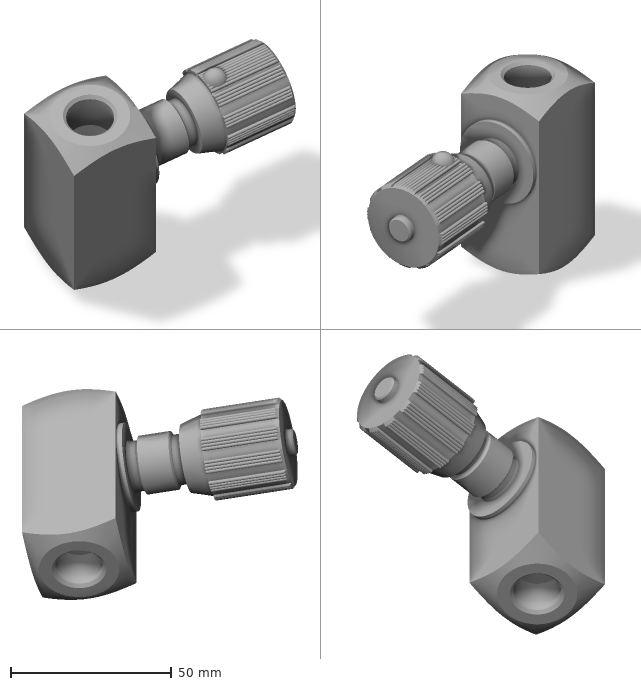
import cadquery as cq
import math


block_width = 30.0
block_height = 65.0
block_center_z = -8.5
block_end_land_dia = 25.1
block_end_angle = 30.0

port_mouth_dia = 17.0
port_dia = 15.0
port_depth = 13.5
drill_point_angle = 118.0
seat_dia = 8.0
seat_depth = 1.7
plug_tip_dia = 5.7
notch_width = 2.5

stem_overlap = 0.8
flange_dia = 28.1
flange_end = 31.75
neck_dia = 16.0
neck_foot_dia = 16.8
neck_foot_end = 32.75
collar_dia = 18.6
collar_start = 34.8
collar_end = 46.3
collar_chamfer = 0.75
skirt_start = 49.3
skirt_small_dia = 21.9
skirt_large_dia = 26.4

knob_start = 56.8
knob_end = 81.9
knob_dia = 29.1
knob_chamfer = 1.0
flute_depth = 0.9
section_count = 12
beads_per_section = 4
beads_on_marker_section = 8
bead_pitch_angle = 4.3

spindle_dia = 8.4
spindle_foot_dia = 8.8
spindle_foot_height = 0.5
spindle_end = 84.2
spindle_chamfer = 0.5

ball_dia = 7.6
ball_center_z = 13.3


def make_block():
    """Square block whose ends are turned to a shallow cone around a flat land."""
    box = cq.Workplane("XY").box(block_width, block_width, block_height)
    half_height = block_height / 2
    land_radius = block_end_land_dia / 2
    outer_radius = block_width
    cone_drop = (outer_radius - land_radius) * math.tan(math.radians(block_end_angle))
    turned = (
        cq.Workplane("XZ")
        .moveTo(0, -half_height)
        .lineTo(land_radius, -half_height)
        .lineTo(outer_radius, -half_height + cone_drop)
        .lineTo(outer_radius, half_height - cone_drop)
        .lineTo(land_radius, half_height)
        .lineTo(0, half_height)
        .close()
        .revolve(360, (0, 0), (0, 1))
    )
    return box.intersect(turned)


def make_port():
    """Void of the upper port: chamfer, thread bore, drill point, seat bore around the plug."""
    mouth_z = block_height / 2
    bore_end_z = mouth_z - port_depth
    port_radius = port_dia / 2
    seat_radius = seat_dia / 2
    plug_tip_radius = plug_tip_dia / 2
    mouth_chamfer = (port_mouth_dia - port_dia) / 2
    drill_drop = (port_radius - seat_radius) / math.tan(math.radians(drill_point_angle / 2))
    seat_z = bore_end_z - drill_drop
    plug_base_z = seat_z - seat_depth
    plug_tip_z = plug_base_z + seat_radius - plug_tip_radius
    void = (
        cq.Workplane("XZ")
        .moveTo(0, mouth_z)
        .lineTo(port_mouth_dia / 2, mouth_z)
        .lineTo(port_radius, mouth_z - mouth_chamfer)
        .lineTo(port_radius, bore_end_z)
        .lineTo(seat_radius, seat_z)
        .lineTo(seat_radius, plug_base_z)
        .lineTo(plug_tip_radius, plug_tip_z)
        .lineTo(0, plug_tip_z)
        .close()
        .revolve(360, (0, 0), (0, 1))
    )
    return void, plug_tip_z


def make_notch(plug_tip_z):
    """Round-bottomed notch in the stem side of the plug cone."""
    notch_start = math.sqrt(plug_tip_dia**2 - notch_width**2) / 2
    notch_length = seat_dia / 2 - notch_start
    return (
        cq.Workplane("XZ", origin=(0, notch_start, plug_tip_z))
        .circle(notch_width / 2)
        .extrude(-notch_length)
    )


def make_stem():
    """Turned stem from inside the block to the spindle end, with the cone skirt under the knob."""
    neck_radius = neck_dia / 2
    collar_radius = collar_dia / 2
    spindle_radius = spindle_dia / 2
    return (
        cq.Workplane("XY")
        .moveTo(0, block_width - stem_overlap)
        .lineTo(flange_dia / 2, block_width - stem_overlap)
        .lineTo(flange_dia / 2, flange_end)
        .lineTo(neck_foot_dia / 2, flange_end)
        .lineTo(neck_radius, neck_foot_end)
        .lineTo(neck_radius, collar_start)
        .lineTo(collar_radius, collar_start + collar_chamfer)
        .lineTo(collar_radius, collar_end - collar_chamfer)
        .lineTo(neck_radius, collar_end)
        .lineTo(neck_radius, skirt_start)
        .lineTo(skirt_small_dia / 2, skirt_start)
        .lineTo(skirt_large_dia / 2, knob_start)
        .lineTo(spindle_foot_dia / 2, knob_start)
        .lineTo(spindle_foot_dia / 2, knob_end)
        .lineTo(spindle_radius, knob_end + spindle_foot_height)
        .lineTo(spindle_radius, spindle_end - spindle_chamfer)
        .lineTo(spindle_radius - spindle_chamfer, spindle_end)
        .lineTo(0, spindle_end)
        .close()
        .revolve(360, (0, 0), (0, 1))
    )


def make_knob():
    """Fluted grip: sections of half-round beads, the topmost one twice as many beads wide."""
    pitch = math.radians(bead_pitch_angle)
    bead_foot_radius = knob_dia / 2 / (math.cos(pitch / 2) + math.sin(pitch / 2))
    flute_radius = knob_dia / 2 - flute_depth
    section_angle = 2 * math.pi / section_count
    up_angle = math.pi / 2

    def polar(radius, angle):
        return (radius * math.cos(angle), radius * math.sin(angle))

    def half_span(section):
        beads = beads_on_marker_section if section % section_count == 0 else beads_per_section
        return beads, beads * pitch / 2

    outline = cq.Workplane("XZ", origin=(0, knob_end, 0))
    outline = outline.moveTo(*polar(flute_radius, up_angle - half_span(0)[1]))
    for section in range(section_count):
        center_angle = up_angle + section * section_angle
        beads, half = half_span(section)
        outline = outline.lineTo(*polar(bead_foot_radius, center_angle - half))
        for bead in range(beads):
            bead_start = center_angle - half + bead * pitch
            crest = polar(knob_dia / 2, bead_start + pitch / 2)
            foot = polar(bead_foot_radius, bead_start + pitch)
            outline = outline.threePointArc(crest, foot)
        flute_start = center_angle + half
        flute_end = center_angle + section_angle - half_span(section + 1)[1]
        outline = outline.lineTo(*polar(flute_radius, flute_start))
        outline = outline.threePointArc(
            polar(flute_radius, (flute_start + flute_end) / 2), polar(flute_radius, flute_end)
        )
    knob_length = knob_end - knob_start
    grip = outline.close().extrude(knob_length)
    envelope = (
        cq.Workplane("XZ", origin=(0, knob_end, 0))
        .circle(knob_dia / 2)
        .extrude(knob_length)
        .faces(">Y")
        .chamfer(knob_chamfer)
    )
    return grip.intersect(envelope)


def make_ball():
    """Ball marker on top of the knob, level with the stem-side end of the grip."""
    center = (0, knob_start + ball_dia / 2, ball_center_z)
    return cq.Workplane("XY").sphere(ball_dia / 2).translate(center)


port, plug_tip_z = make_port()
block = make_block().cut(port).cut(port.mirror("XY")).cut(make_notch(plug_tip_z))
block = block.translate((0, block_width / 2, block_center_z))

result = block.union(make_stem()).union(make_knob()).union(make_ball())